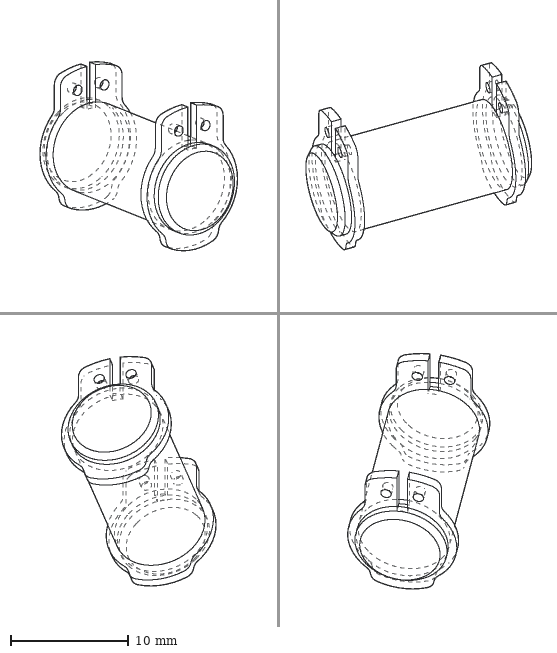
import cadquery as cq
import math

pin_length = 18.0
pin_radius = 4.0
pin_chamfer = 0.5
groove_radius = 3.5

ring_thickness = 0.9
ring_inset = 1.1
ring_diameter = 9.49
ring_radius = ring_diameter / 2
blend_radius = 1.0

lug_radius = 7.3
lug_half_width = 3.24
lug_corner_radius = 1.0
gap_width = 0.92
hole_diameter = 0.9
hole_offset = 1.4
hole_height = 5.31

foot_radius = 5.53
foot_half_width = 2.77
foot_reference_height = -4.2
foot_taper = math.radians(10)
foot_corner_radius = 1.0


def disc(radius):
    return cq.Workplane("YZ").circle(radius).extrude(ring_thickness)


def foot_half_width_at(height):
    return foot_half_width + (height - foot_reference_height) * math.tan(foot_taper)


def lug_blank():
    """Parallel-sided plate from the pin axis up, with a round top."""
    strip = (
        cq.Workplane("YZ")
        .rect(2 * lug_half_width, lug_radius, centered=(True, False))
        .extrude(ring_thickness)
    )
    return strip.intersect(disc(lug_radius)).edges("|X and (not <Z)").fillet(lug_corner_radius)


def foot_blank():
    """Tapered plate from the pin axis down, with a round bottom."""
    top = foot_half_width_at(0)
    bottom = foot_half_width_at(-foot_radius)
    wedge = (
        cq.Workplane("YZ")
        .polyline([(-top, 0), (top, 0), (bottom, -foot_radius), (-bottom, -foot_radius)])
        .close()
        .extrude(ring_thickness)
    )
    return wedge.intersect(disc(foot_radius)).edges("|X and (not >Z)").fillet(foot_corner_radius)


def concave_corners(body):
    """Edges where the sides of the lugs and the foot leave the ring circle."""
    lug_corner_height = math.sqrt(ring_radius**2 - lug_half_width**2)
    side_distance = foot_half_width_at(0) * math.cos(foot_taper)
    corner_angle = foot_taper + math.acos(side_distance / ring_radius)
    foot_corner_width = ring_radius * math.cos(corner_angle)
    foot_corner_height = -ring_radius * math.sin(corner_angle)
    edges = body.newObject([])
    for y, z in (
        (lug_half_width, lug_corner_height),
        (-lug_half_width, lug_corner_height),
        (foot_corner_width, foot_corner_height),
        (-foot_corner_width, foot_corner_height),
    ):
        edges = edges.add(body.edges(cq.NearestToPointSelector((ring_thickness / 2, y, z))))
    return edges


def retaining_ring():
    """One solid ring plate, starting at X = 0."""
    body = disc(ring_radius).union(lug_blank()).union(foot_blank())
    body = concave_corners(body).fillet(blend_radius)
    gap = (
        cq.Workplane("YZ")
        .rect(gap_width, lug_radius, centered=(True, False))
        .extrude(ring_thickness)
    )
    holes = (
        cq.Workplane("YZ")
        .pushPoints([(-hole_offset, hole_height), (hole_offset, hole_height)])
        .circle(hole_diameter / 2)
        .extrude(ring_thickness)
    )
    return body.cut(gap).cut(holes)


def groove():
    """Annular cutter for a ring groove, starting at X = 0."""
    return disc(pin_radius).cut(disc(groove_radius))


pin = (
    cq.Workplane("YZ")
    .circle(pin_radius)
    .extrude(pin_length / 2, both=True)
    .faces("<X or >X")
    .chamfer(pin_chamfer)
)

ring = retaining_ring().cut(disc(groove_radius))
first_ring_start = -pin_length / 2 + ring_inset
second_ring_start = pin_length / 2 - ring_inset - ring_thickness

result = pin
for ring_start in (first_ring_start, second_ring_start):
    result = result.cut(groove().translate((ring_start, 0, 0)))
    result = result.union(ring.translate((ring_start, 0, 0)))